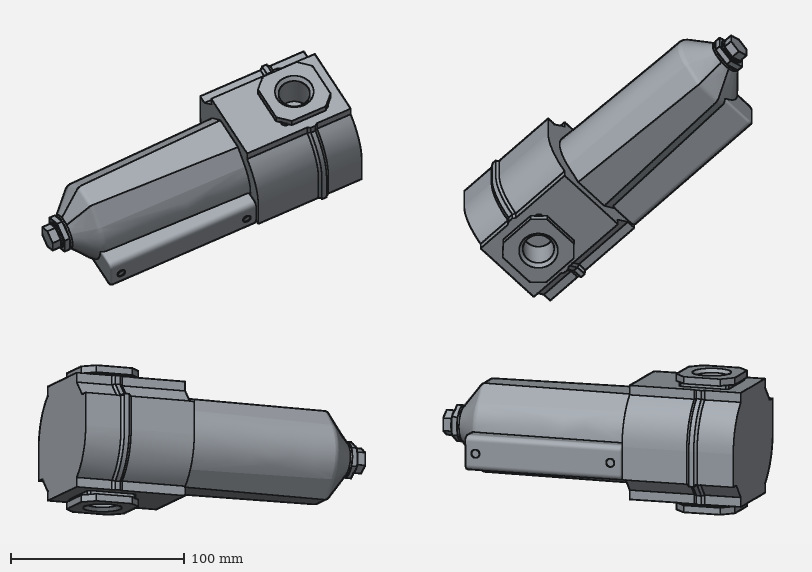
import cadquery as cq
import math


TOTAL_LENGTH = 186.7

HEAD_LENGTH = 67.8
HEAD_HALF_HEIGHT = 33.6
HEAD_FLAT_HALF_WIDTH = 22.0
HEAD_RADIUS = 35.7
SHOULDER_INNER_X = 30.2
SHOULDER_Z = 19.5

RIDGE_HEIGHT = 1.1
RIDGE_CREST_WIDTH = 3.0
RIDGE_SLOPE_WIDTH = 1.7

PORT_DEPTH = 25.2
FLANGE_SIZE = 35.7
FLANGE_CORNER = 6.7
FLANGE_THICKNESS = 4.1
NECK_SIZE = 30.2
NECK_CORNER = 1.5
NECK_LENGTH = 2.2
PORT_DIAMETER = 18.1
PORT_MOUTH_DIAMETER = 22.4
PORT_HOLE_LENGTH = 22.4

BOWL_HALF_HEIGHT = 26.1
BOWL_TOP_RADIUS = 26.1
BOWL_END_RADIUS = 23.9
SIDE_ARC_HALF_ANGLE = 42.0
BOWL_SHOULDER_DEPTH = 162.2
BOWL_SHOULDER_FILLET = 3.7
CONE_END_DEPTH = 175.7
CONE_END_RADIUS = 10.5

BLOCK_OUTER_X = 35.1
BLOCK_INNER_X = 9.3
BLOCK_TOP_Z = 0.4
BLOCK_BOTTOM_Z = -20.2
BLOCK_START_DEPTH = 68.3
BLOCK_END_DEPTH = 164.0
BLOCK_CORNER_RADIUS = 3.4
BLOCK_END_FILLET = 1.5
STUD_DIAMETER = 4.9
STUD_HEIGHT = 0.5
STUD_INSET = 6.7

COLLAR_RADIUS = 10.5
COLLAR_THICKNESS = 1.3
LARGE_HEX_FLATS = 18.7
LARGE_HEX_THICKNESS = 3.4
WASHER_RADIUS = 7.8
WASHER_THICKNESS = 1.1
SMALL_HEX_FLATS = 12.9


def plane_at(depth):
    """Cross-section plane: local x is X, local y is Z, and it extrudes towards -Y."""
    return cq.Workplane("XZ", origin=(0, -depth, 0))


def box_between(x_range, depth_range, z_range):
    (x0, x1), (d0, d1), (z0, z1) = x_range, depth_range, z_range
    face_plane = plane_at(d0).center((x0 + x1) / 2, (z0 + z1) / 2)
    return face_plane.rect(x1 - x0, z1 - z0).extrude(d1 - d0)



def head_outline(depth):
    """Half-turn symmetric outline: one side has a square shoulder above and an arc below."""
    half_width = HEAD_FLAT_HALF_WIDTH
    arc_end_z = math.sqrt(HEAD_RADIUS ** 2 - half_width ** 2)
    mid = HEAD_RADIUS * math.sqrt(0.5)
    return (
        plane_at(depth)
        .moveTo(half_width, HEAD_HALF_HEIGHT)
        .lineTo(-half_width, HEAD_HALF_HEIGHT)
        .lineTo(-half_width, arc_end_z)
        .lineTo(-SHOULDER_INNER_X, SHOULDER_Z)
        .lineTo(-HEAD_RADIUS, SHOULDER_Z)
        .lineTo(-HEAD_RADIUS, 0)
        .threePointArc((-mid, -mid), (-half_width, -arc_end_z))
        .lineTo(-half_width, -HEAD_HALF_HEIGHT)
        .lineTo(half_width, -HEAD_HALF_HEIGHT)
        .lineTo(half_width, -arc_end_z)
        .lineTo(SHOULDER_INNER_X, -SHOULDER_Z)
        .lineTo(HEAD_RADIUS, -SHOULDER_Z)
        .lineTo(HEAD_RADIUS, 0)
        .threePointArc((mid, mid), (half_width, arc_end_z))
        .close()
    )


def head_ridge():
    """Raised band with sloped flanks, cut off level with the top and bottom of the head."""
    crest_start = PORT_DEPTH - RIDGE_CREST_WIDTH / 2
    flank_taper = -math.degrees(math.atan2(RIDGE_HEIGHT, RIDGE_SLOPE_WIDTH))
    crest = head_outline(crest_start).offset2D(RIDGE_HEIGHT, "intersection").extrude(RIDGE_CREST_WIDTH)
    flank = head_outline(crest_start - RIDGE_SLOPE_WIDTH).extrude(RIDGE_SLOPE_WIDTH, taper=flank_taper)
    opposite_flank = flank.mirror("XZ", (0, -PORT_DEPTH, 0))
    ridge_reach = 2 * HEAD_RADIUS
    height_limit = box_between(
        (-ridge_reach, ridge_reach), (0, HEAD_LENGTH), (-HEAD_HALF_HEIGHT, HEAD_HALF_HEIGHT)
    )
    return crest.union(flank).union(opposite_flank).intersect(height_limit)


def port_plane(side, height):
    """Plane on the port axis, facing away from the head; side is +1 for top, -1 for bottom."""
    return cq.Workplane(cq.Plane(origin=(0, -PORT_DEPTH, side * height), xDir=(1, 0, 0), normal=(0, 0, side)))


def port_flange(side):
    neck = (
        port_plane(side, HEAD_HALF_HEIGHT)
        .rect(NECK_SIZE, NECK_SIZE)
        .extrude(NECK_LENGTH)
        .edges("|Z")
        .chamfer(NECK_CORNER)
    )
    flange = (
        port_plane(side, HEAD_HALF_HEIGHT + NECK_LENGTH)
        .rect(FLANGE_SIZE, FLANGE_SIZE)
        .extrude(FLANGE_THICKNESS)
        .edges("|Z")
        .chamfer(FLANGE_CORNER)
    )
    return neck.union(flange)


def port_hole(side):
    """Blind round hole with a 45 degree mouth."""
    face_height = HEAD_HALF_HEIGHT + NECK_LENGTH + FLANGE_THICKNESS
    mouth_length = (PORT_MOUTH_DIAMETER - PORT_DIAMETER) / 2
    bore = port_plane(side, face_height).circle(PORT_DIAMETER / 2).extrude(-PORT_HOLE_LENGTH)
    mouth = port_plane(side, face_height).circle(PORT_MOUTH_DIAMETER / 2).extrude(-mouth_length, taper=45)
    return bore.union(mouth)


def make_head():
    head = head_outline(0).extrude(HEAD_LENGTH).union(head_ridge())
    for side in (1, -1):
        head = head.union(port_flange(side)).cut(port_hole(side))
    return head



def bowl_corners(radius):
    """The four corners of the bowl section in the upper half (+Z), from right to left."""
    half_angle = math.radians(SIDE_ARC_HALF_ANGLE)
    arc_x = radius * math.cos(half_angle)
    arc_z = radius * math.sin(half_angle)
    flat_x = arc_x + arc_z - BOWL_HALF_HEIGHT
    return [(arc_x, arc_z), (flat_x, BOWL_HALF_HEIGHT), (-flat_x, BOWL_HALF_HEIGHT), (-arc_x, arc_z)]


def bowl_section(depth, radius):
    """Side arcs, 45 degree flats from their ends, and level flats at top and bottom."""
    upper = bowl_corners(radius)
    lower = [(-x, -z) for x, z in upper]
    section = plane_at(depth).moveTo(*upper[0])
    for corner in upper[1:]:
        section = section.lineTo(*corner)
    section = section.threePointArc((-radius, 0), lower[0])
    for corner in lower[1:]:
        section = section.lineTo(*corner)
    return section.threePointArc((radius, 0), upper[0]).close().val()


def cone_end_circle():
    """Circle split into eight arcs, in the same directions as the corners of the bowl shoulder."""
    upper_angles = [math.atan2(z, x) for x, z in bowl_corners(BOWL_END_RADIUS)]
    angles = upper_angles + [angle + math.pi for angle in upper_angles]
    angles.append(angles[0] + 2 * math.pi)

    def on_circle(angle):
        return (CONE_END_RADIUS * math.cos(angle), CONE_END_RADIUS * math.sin(angle))

    circle = plane_at(CONE_END_DEPTH).moveTo(*on_circle(angles[0]))
    for start, end in zip(angles, angles[1:]):
        circle = circle.threePointArc(on_circle((start + end) / 2), on_circle(end))
    return circle.close().val()


def bowl_vessel():
    """Tapered barrel that closes in a cone, with the shoulder between them rounded."""
    top = bowl_section(HEAD_LENGTH, BOWL_TOP_RADIUS)
    shoulder = bowl_section(BOWL_SHOULDER_DEPTH, BOWL_END_RADIUS)
    cone_end = cone_end_circle()
    barrel = cq.Workplane(cq.Solid.makeLoft([top, shoulder], ruled=True))
    cone = cq.Workplane(cq.Solid.makeLoft([shoulder, cone_end], ruled=True))
    margin = 0.2
    shoulder_edges = cq.selectors.BoxSelector(
        (-HEAD_RADIUS, -BOWL_SHOULDER_DEPTH - margin, -HEAD_RADIUS),
        (HEAD_RADIUS, -BOWL_SHOULDER_DEPTH + margin, HEAD_RADIUS),
    )
    return barrel.union(cone).edges(shoulder_edges).fillet(BOWL_SHOULDER_FILLET)


def side_block():
    """Block with rounded outer corners and ends; its inner side is buried in the vessel."""
    block = box_between(
        (BLOCK_INNER_X, BLOCK_OUTER_X), (BLOCK_START_DEPTH, BLOCK_END_DEPTH), (BLOCK_BOTTOM_Z, BLOCK_TOP_Z)
    )
    block = block.edges("|Y and >X").fillet(BLOCK_CORNER_RADIUS)
    return block.faces("<Y or >Y").edges("not <X").fillet(BLOCK_END_FILLET)


def block_studs():
    """Low round studs near both ends of the block's outer face."""
    depths = (BLOCK_START_DEPTH + STUD_INSET, BLOCK_END_DEPTH - STUD_INSET)
    middle_z = (BLOCK_TOP_Z + BLOCK_BOTTOM_Z) / 2
    points = [(-depth, middle_z) for depth in depths]
    return (
        cq.Workplane("YZ", origin=(BLOCK_OUTER_X, 0, 0))
        .pushPoints(points)
        .circle(STUD_DIAMETER / 2)
        .extrude(STUD_HEIGHT)
    )


def make_bowl():
    return bowl_vessel().union(side_block()).union(block_studs())



def hexagon(depth, across_flats, thickness):
    """Hexagonal prism with two corners pointing up and down."""
    across_corners = across_flats / math.cos(math.radians(30))
    return plane_at(depth).transformed(rotate=(0, 0, 90)).polygon(6, across_corners).extrude(thickness)


def make_drain_plug():
    large_hex_depth = CONE_END_DEPTH + COLLAR_THICKNESS
    washer_depth = large_hex_depth + LARGE_HEX_THICKNESS
    small_hex_depth = washer_depth + WASHER_THICKNESS
    collar = plane_at(CONE_END_DEPTH).circle(COLLAR_RADIUS).extrude(COLLAR_THICKNESS)
    washer = plane_at(washer_depth).circle(WASHER_RADIUS).extrude(WASHER_THICKNESS)
    return (
        collar
        .union(hexagon(large_hex_depth, LARGE_HEX_FLATS, LARGE_HEX_THICKNESS))
        .union(washer)
        .union(hexagon(small_hex_depth, SMALL_HEX_FLATS, TOTAL_LENGTH - small_hex_depth))
    )


head = make_head()
bowl = make_bowl()
drain_plug = make_drain_plug()

result = cq.Compound.makeCompound([body.solids().val() for body in (head, bowl, drain_plug)])